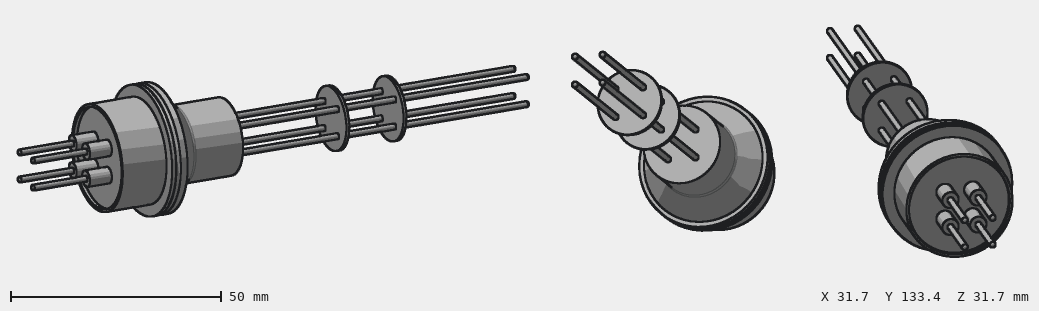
import cadquery as cq
import math


pin_length = 133.4
sleeve_front = 14.7
body_front = 19.5
flange_front = 31.2
groove_centre = 33.0
flange_rear = 35.3
cone_rear = 40.5
body_rear = 53.6

front_diameter = 26.0
flange_diameter = 31.7
groove_radius = 0.6
rear_diameter = 19.0
cone_diameter = rear_diameter + 2 * (cone_rear - flange_rear)
cone_fillet = 1.1

recess_diameter = 24.7
recess_depth = 1.1

pin_diameter = 1.5
tip_height = 0.5
pin_pitch = 6.8
sleeve_diameter = 4.0
disc_diameter = 15.7
disc_thickness = 0.8
disc_centres = (82.5, 97.9)


def cylinder(diameter, start, end, x=0, z=0):
    """Solid cylinder parallel to Y, between two stations."""
    profile = cq.Workplane("XZ", origin=(x, start, z)).circle(diameter / 2)
    return profile.extrude(start - end)


def make_body():
    """Flanged body of revolution with a grooved rim and a recessed front face."""
    flange_radius = flange_diameter / 2
    half_profile = (
        cq.Workplane("XY")
        .moveTo(0, body_front)
        .lineTo(front_diameter / 2, body_front)
        .lineTo(front_diameter / 2, flange_front)
        .lineTo(flange_radius, flange_front)
        .lineTo(flange_radius, groove_centre - groove_radius)
        .threePointArc(
            (flange_radius - groove_radius, groove_centre),
            (flange_radius, groove_centre + groove_radius),
        )
        .lineTo(flange_radius, flange_rear)
        .lineTo(cone_diameter / 2, flange_rear)
        .lineTo(rear_diameter / 2, cone_rear)
        .lineTo(rear_diameter / 2, body_rear)
        .lineTo(0, body_rear)
        .close()
    )
    body = half_profile.revolve(360, (0, 0), (0, 1))

    cone_corner = cq.NearestToPointSelector((0, cone_rear, 0))
    body = body.edges(cone_corner).fillet(cone_fillet)

    recess = cylinder(recess_diameter, body_front, body_front + recess_depth)
    return body.cut(recess)


def make_pin(x, z):
    """One pin with shallow domed tips, together with its sleeve."""
    pin_radius = pin_diameter / 2
    sphere_radius = (pin_radius**2 + tip_height**2) / (2 * tip_height)
    half_angle = math.asin(pin_radius / sphere_radius) / 2
    mid_radius = sphere_radius * math.sin(half_angle)
    mid_height = sphere_radius * (1 - math.cos(half_angle))
    half_profile = (
        cq.Workplane("XY")
        .threePointArc((mid_radius, mid_height), (pin_radius, tip_height))
        .lineTo(pin_radius, pin_length - tip_height)
        .threePointArc((mid_radius, pin_length - mid_height), (0, pin_length))
        .close()
    )
    pin = half_profile.revolve(360, (0, 0), (0, 1)).translate((x, 0, z))
    sleeve = cylinder(sleeve_diameter, sleeve_front, body_front + recess_depth, x, z)
    return pin.union(sleeve)


result = make_body()

for x in (-pin_pitch / 2, pin_pitch / 2):
    for z in (-pin_pitch / 2, pin_pitch / 2):
        result = result.union(make_pin(x, z))

for centre in disc_centres:
    disc = cylinder(disc_diameter, centre - disc_thickness / 2, centre + disc_thickness / 2)
    result = result.union(disc)